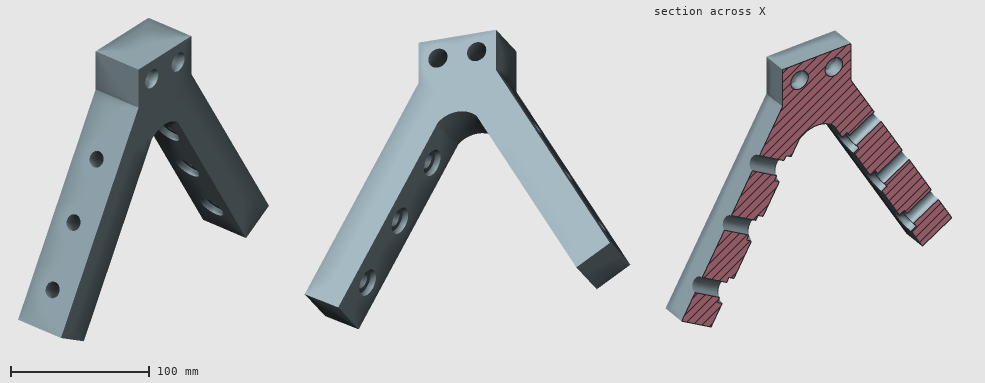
import cadquery as cq
import math

thickness = 40.0
span = 236.5
height = 200.0
leg_angle = 60.0
arm_width = 30.0
head_width = 60.0
crotch_width = 29.8
crotch_drop = 60.0

head_hole_diameter = 15.0
head_hole_spacing = 30.0
head_hole_depth = 15.0

arm_hole_diameter = 12.0
counterbore_diameter = 20.0
counterbore_depth = 5.0
arm_holes = [(29.8, 0.0), (81.0, -1.5), (130.0, 0.0)]

sin_leg = math.sin(math.radians(leg_angle))
cos_leg = math.cos(math.radians(leg_angle))
tan_leg = sin_leg / cos_leg
outer_corner_y = span / 2
outer_corner_z = arm_width * cos_leg
inner_tip_y = outer_corner_y - arm_width * sin_leg
shoulder_y = head_width / 2
shoulder_z = outer_corner_z + (outer_corner_y - shoulder_y) * tan_leg
crotch_y = crotch_width / 2
crotch_z = (inner_tip_y - crotch_y) * tan_leg
arch_top_z = height - crotch_drop


def make_body():
    """Extrude the forked outline through the thickness."""
    return (
        cq.Workplane("YZ")
        .moveTo(-shoulder_y, height)
        .lineTo(-shoulder_y, shoulder_z)
        .lineTo(-outer_corner_y, outer_corner_z)
        .lineTo(-inner_tip_y, 0)
        .lineTo(-crotch_y, crotch_z)
        .threePointArc((0, arch_top_z), (crotch_y, crotch_z))
        .lineTo(inner_tip_y, 0)
        .lineTo(outer_corner_y, outer_corner_z)
        .lineTo(shoulder_y, shoulder_z)
        .lineTo(shoulder_y, height)
        .close()
        .extrude(thickness / 2, both=True)
    )


def make_head_holes():
    """Two holes along X through the head."""
    hole_z = height - head_hole_depth
    centers = [(-head_hole_spacing / 2, hole_z), (head_hole_spacing / 2, hole_z)]
    return (
        cq.Workplane("YZ")
        .pushPoints(centers)
        .circle(head_hole_diameter / 2)
        .extrude(thickness, both=True)
    )


def make_arm_hole(side, distance, offset_x):
    """Hole square through one arm, counterbored from inside; side is +1 or -1 along Y."""
    entry = cq.Vector(
        offset_x,
        side * (outer_corner_y - distance * cos_leg),
        outer_corner_z + distance * sin_leg,
    )
    inward = cq.Vector(0, -side * sin_leg, -cos_leg)
    hole = cq.Solid.makeCylinder(arm_hole_diameter / 2, arm_width, entry, inward)
    counterbore_floor = entry + inward * (arm_width - counterbore_depth)
    counterbore = cq.Solid.makeCylinder(
        counterbore_diameter / 2, counterbore_depth, counterbore_floor, inward
    )
    return hole.fuse(counterbore)


result = make_body().cut(make_head_holes())
for side in (-1, 1):
    for distance, offset_x in arm_holes:
        result = result.cut(make_arm_hole(side, distance, offset_x))